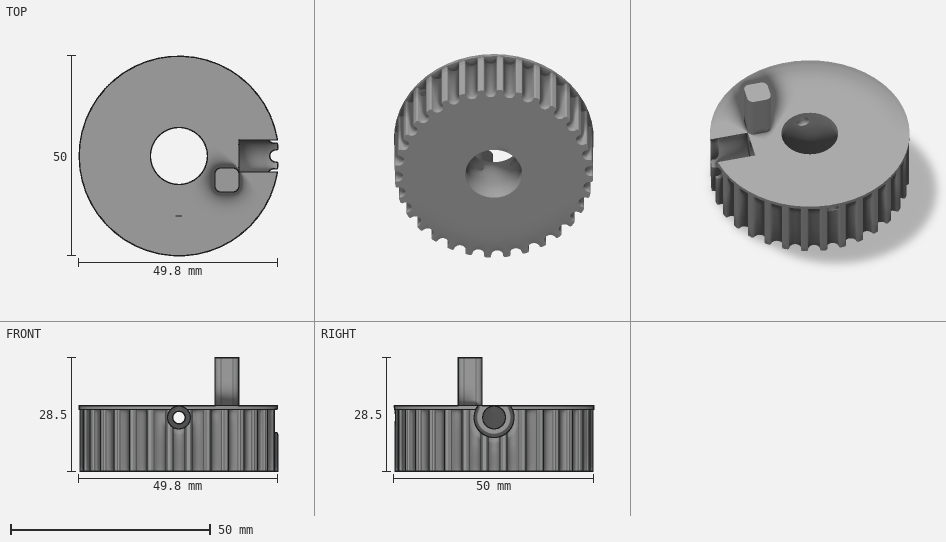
import cadquery as cq
import math

tooth_count = 32
tip_radius = 49.75 / 2
groove_radius = 1.5
groove_depth = 2.05
lip_radius = 0.45
body_height = 16.5

flange_diameter = 50.0
flange_thickness = 0.95
bore_diameter = 14.2

pin_side = 6.0
pin_height = 12.0
pin_corner_radius = 1.5
pin_x = 12.0
pin_y = -6.0

cross_axis_z = 13.5
cross_hole_diameter = 3.1
large_hole_diameter = 5.7
pocket_diameter = 10.0
recess_floor_radius = 15.0

rim_reach = 30.0


def polar_frame(angle):
    """Map a radial and a tangential distance at the given angle to X and Y."""
    def place(radial, tangential):
        x = radial * math.cos(angle) - tangential * math.sin(angle)
        y = radial * math.sin(angle) + tangential * math.cos(angle)
        return x, y
    return place


def toothed_body():
    """Disc with U-shaped belt grooves whose lips are rounded over."""
    mouth_half_width = groove_radius + lip_radius
    lip = math.sqrt(tip_radius**2 - mouth_half_width**2)
    flank_top = lip - lip_radius
    root = lip - groove_depth
    flank_bottom = root + groove_radius
    lip_mid_radial = flank_top + lip_radius * math.sin(math.pi / 4)
    lip_mid_side = mouth_half_width - lip_radius * math.cos(math.pi / 4)
    pitch_angle = 2 * math.pi / tooth_count

    outline = cq.Workplane("XY").moveTo(*polar_frame(0)(lip, -mouth_half_width))
    for index in range(tooth_count):
        angle = index * pitch_angle
        groove = polar_frame(angle)
        tooth = polar_frame(angle + pitch_angle / 2)
        next_groove = polar_frame(angle + pitch_angle)
        outline = (
            outline
            .threePointArc(groove(lip_mid_radial, -lip_mid_side), groove(flank_top, -groove_radius))
            .lineTo(*groove(flank_bottom, -groove_radius))
            .threePointArc(groove(root, 0), groove(flank_bottom, groove_radius))
            .lineTo(*groove(flank_top, groove_radius))
            .threePointArc(groove(lip_mid_radial, lip_mid_side), groove(lip, mouth_half_width))
            .threePointArc(tooth(tip_radius, 0), next_groove(lip, -mouth_half_width))
        )
    return outline.close().extrude(body_height)


def flange():
    base = cq.Workplane("XY").workplane(offset=body_height - flange_thickness)
    return base.circle(flange_diameter / 2).extrude(flange_thickness)


def drive_pin():
    base = cq.Workplane("XY", origin=(pin_x, pin_y, body_height))
    pin = base.rect(pin_side, pin_side).extrude(pin_height)
    return pin.edges("|Z").fillet(pin_corner_radius)


def bore():
    return cq.Workplane("XY").circle(bore_diameter / 2).extrude(body_height)


def cylinder_along_x(diameter, start, end):
    base = cq.Workplane("YZ", origin=(start, 0, cross_axis_z))
    return base.circle(diameter / 2).extrude(end - start)


def cylinder_along_y(diameter, start, end):
    base = cq.Workplane("XZ", origin=(0, start, cross_axis_z))
    return base.circle(diameter / 2).extrude(start - end)


def large_hole_and_pocket():
    """Hole from the bore toward +X, opening into a round pocket that breaks through the top."""
    hole = cylinder_along_x(large_hole_diameter, 0, recess_floor_radius)
    pocket = cylinder_along_x(pocket_diameter, recess_floor_radius, rim_reach)
    return hole.union(pocket)


def counterbored_cross_hole():
    """Small hole right through along Y, counterbored from the -Y rim."""
    hole = cylinder_along_y(cross_hole_diameter, -rim_reach, rim_reach)
    counterbore = cylinder_along_y(large_hole_diameter, -rim_reach, -recess_floor_radius)
    return hole.union(counterbore)


result = (
    toothed_body()
    .union(flange())
    .cut(bore())
    .cut(large_hole_and_pocket())
    .cut(counterbored_cross_hole())
    .union(drive_pin())
)